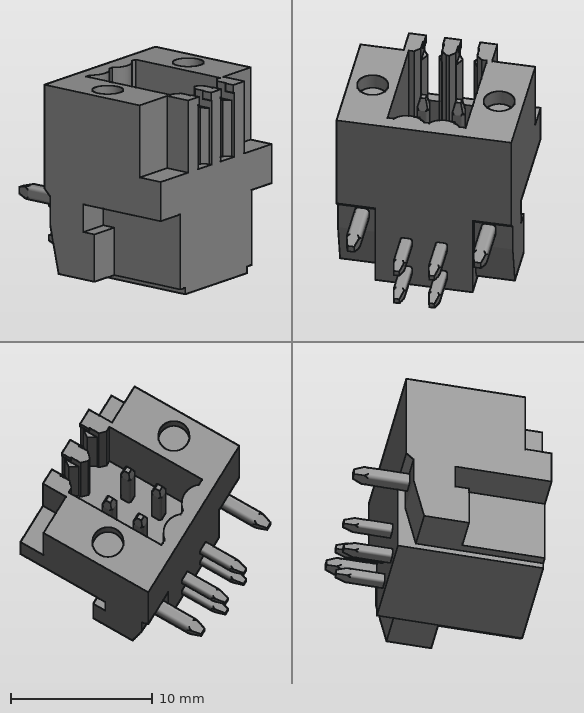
import cadquery as cq


body_length = 10.54
body_width = 12.64
body_height = 14.2
half_width = body_width / 2

pin_pitch = 2.54
pin_rows_y = (-pin_pitch / 2, pin_pitch / 2)
first_pin_x = 3.65
lower_pin_z = 1.24
pin_width = 0.84
pin_corner_radius = 0.2
pin_tip_width = 0.38
pin_top_z = 12.21

flange_y = 4.57
anchor_z = 5.48
anchor_width = 1.04
anchor_corner_radius = 0.28
anchor_tip_width = 0.48
anchor_root_x = 2.84

tail_length = 3.46
taper_length = 1.0

cavity_start_x = 1.0
cavity_end_x = 8.63
cavity_half_width = 2.83
cavity_floor_z = 6.0
bump_height = 0.53
bump_half_width = 1.1

slot_mouth_half_width = 1.16
slot_half_width = 0.77
slot_bevel_length = 0.4
slot_step_x = 9.8
slot_sill_z = 8.89
lip_thickness = 0.09
lip_height = 0.6
rib_start_x = 9.17
rib_end_x = 10.32
rib_projection = 0.35
rib_top_z = 13.01

screw_hole_x = 4.36
screw_hole_diameter = 2.22
screw_hole_depth = 1.16

shoulder_half_width = 3.2
shoulder_z = slot_sill_z
keel_half_width = 3.52
flange_bottom_z = 0.48
relief_depth = 0.53
relief_z = 6.06
relief_slope_top_z = 3.98
relief_slope_end_x = 1.29
pocket_floor_y = 4.06
pocket_start_x = 3.55
pocket_top_z = 6.0
pocket_step_x = 4.55
pocket_step_z = relief_slope_top_z


def box(x_range, y_range, z_range):
    """Axis-aligned block between the given limits."""
    size = [high - low for low, high in (x_range, y_range, z_range)]
    corner = (x_range[0], y_range[0], z_range[0])
    return cq.Workplane("XY").box(*size, centered=False).translate(corner)


def both_sides(shape):
    """The shape together with its mirror image across Y = 0."""
    return shape.union(shape.mirror("XZ"))


def side_profile(points, y_low, y_high):
    """Prism with an outline in X and Z, spanning y_low to y_high."""
    return (
        cq.Workplane("XZ", origin=(0, y_low, 0))
        .polyline(points)
        .close()
        .extrude(y_low - y_high)
    )


def straight_pin(length, width, corner_radius, tip_width):
    """Square pin along +Z with rounded edges and a four-sided tapered tip."""
    shank_length = length - taper_length
    rounded = cq.Workplane("XY").rect(width, width).extrude(length)
    rounded = rounded.edges("|Z").fillet(corner_radius)
    shank = cq.Workplane("XY").rect(width, width).extrude(shank_length)
    taper = (
        cq.Workplane("XY", origin=(0, 0, shank_length))
        .rect(width, width)
        .workplane(offset=taper_length)
        .rect(tip_width, tip_width)
        .loft(ruled=True)
    )
    return rounded.intersect(shank.union(taper))


def tail_pin(root_x, y, z, width, corner_radius, tip_width):
    """Pin running from root_x out through the solder face along -X."""
    pin = straight_pin(root_x + tail_length, width, corner_radius, tip_width)
    return pin.rotate((0, 0, 0), (0, 1, 0), -90).translate((root_x, y, z))


def contact_pin(x, y, tail_z):
    """Right-angle contact: an upright leg joined to a horizontal tail."""
    leg = straight_pin(pin_top_z - tail_z, pin_width, pin_corner_radius, pin_tip_width)
    tail = tail_pin(x, y, tail_z, pin_width, pin_corner_radius, pin_tip_width)
    return leg.translate((x, y, tail_z)).union(tail)


def housing_block():
    """Block with its flanges cut back and its narrower keel left below them."""
    block = box((0, body_length), (-half_width, half_width), (0, body_height))
    shoulder = box(
        (cavity_end_x, body_length),
        (shoulder_half_width, half_width),
        (shoulder_z, body_height),
    )
    underside = box((0, body_length), (keel_half_width, half_width), (0, flange_bottom_z))
    relief = side_profile(
        [
            (0, relief_z + relief_depth),
            (relief_depth, relief_z),
            (relief_depth, relief_slope_top_z),
            (relief_slope_end_x, flange_bottom_z),
            (0, flange_bottom_z),
        ],
        keel_half_width,
        half_width,
    )
    pocket = side_profile(
        [
            (pocket_start_x, pocket_top_z),
            (body_length, pocket_top_z),
            (body_length, flange_bottom_z),
            (pocket_step_x, flange_bottom_z),
            (pocket_step_x, pocket_step_z),
            (pocket_start_x, pocket_step_z),
        ],
        pocket_floor_y,
        half_width,
    )
    for cut in (shoulder, underside, relief, pocket):
        block = block.cut(both_sides(cut))
    return block


def screw_holes():
    """Blind holes in the tops of the two flanges."""
    return (
        cq.Workplane("XY", origin=(screw_hole_x, 0, body_height))
        .pushPoints([(0, -flange_y), (0, flange_y)])
        .circle(screw_hole_diameter / 2)
        .extrude(-screw_hole_depth)
    )


def cavity():
    """Open-topped cavity with a round bump in its wall at each pin row."""
    outline = cq.Workplane("XY", origin=(0, 0, cavity_floor_z))
    outline = outline.moveTo(cavity_start_x, -cavity_half_width)
    for y in pin_rows_y:
        outline = outline.lineTo(cavity_start_x, y - bump_half_width).threePointArc(
            (cavity_start_x + bump_height, y),
            (cavity_start_x, y + bump_half_width),
        )
    return (
        outline.lineTo(cavity_start_x, cavity_half_width)
        .lineTo(cavity_end_x, cavity_half_width)
        .lineTo(cavity_end_x, -cavity_half_width)
        .close()
        .extrude(body_height - cavity_floor_z)
    )


def slot_rib():
    """Triangular rib standing on the +Y wall of a slot centred on Y = 0."""
    tip_y = slot_half_width - rib_projection
    return (
        cq.Workplane("XY", origin=(0, 0, cavity_floor_z))
        .moveTo(rib_start_x, slot_half_width)
        .lineTo(slot_step_x, tip_y)
        .lineTo(rib_end_x, slot_half_width)
        .close()
        .extrude(rib_top_z - cavity_floor_z)
    )


def latch_slot(y):
    """Slot with a bevelled mouth, ribs on its walls and lips at its outer top."""
    bevel_end_x = cavity_end_x + slot_bevel_length
    groove = (
        cq.Workplane("XY", origin=(0, 0, cavity_floor_z))
        .moveTo(cavity_end_x, -slot_mouth_half_width)
        .lineTo(bevel_end_x, -slot_half_width)
        .lineTo(slot_step_x, -slot_half_width)
        .lineTo(slot_step_x, slot_half_width)
        .lineTo(bevel_end_x, slot_half_width)
        .lineTo(cavity_end_x, slot_mouth_half_width)
        .close()
        .extrude(body_height - cavity_floor_z)
    )
    outlet = box(
        (slot_step_x, body_length),
        (-slot_half_width, slot_half_width),
        (slot_sill_z, body_height),
    )
    lip = box(
        (slot_step_x, body_length),
        (slot_half_width - lip_thickness, slot_half_width),
        (body_height - lip_height, body_height),
    )
    slot = groove.union(outlet).cut(both_sides(lip)).cut(both_sides(slot_rib()))
    return slot.translate((0, y, 0))


result = housing_block().cut(screw_holes()).cut(cavity())

for row_y in pin_rows_y:
    result = result.cut(latch_slot(row_y))

for row_y in pin_rows_y:
    result = result.union(contact_pin(first_pin_x, row_y, lower_pin_z + pin_pitch))
    result = result.union(contact_pin(first_pin_x + pin_pitch, row_y, lower_pin_z))

anchor = tail_pin(
    anchor_root_x, flange_y, anchor_z, anchor_width, anchor_corner_radius, anchor_tip_width
)
result = result.union(both_sides(anchor))